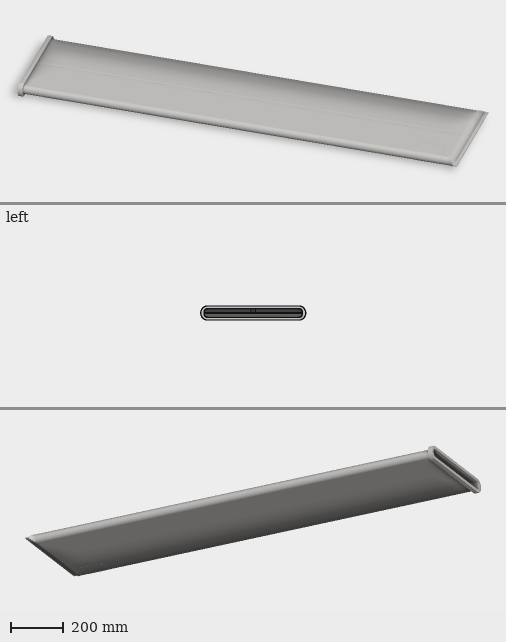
import cadquery as cq
import math

length = 1750.0
body_width = 376.0
body_height = 35.0
wall = 1.0

edge_flat = 0.4

collar_length = 18.0
collar_width = 400.0
collar_height = 55.0

seam_width = collar_width
seam_length = 15.0
seam_thickness = 4.0
taper_length = 25.0
taper_steps = 4

strip_width = 16.0
strip_thickness = 0.5
strip_end_gap = 10.0

patch_start = 1580.0
patch_length = 100.0
patch_reach = 78.0
patch_thickness = 0.5

seam_start = length - seam_length
taper_start = seam_start - taper_length
edge_radius = (body_height - edge_flat) / 2


def section(x, width, height, radius):
    """Outline across X with flat sides and bulging ends: two arcs joined by a narrow flat."""
    top = height / 2
    tip = width / 2
    flat = edge_flat / 2
    arc_rise = top - flat
    centre_y = tip - radius
    corner = centre_y + math.sqrt(radius**2 - arc_rise**2)
    half_angle = math.asin(arc_rise / radius) / 2
    mid_y = centre_y + radius * math.cos(half_angle)
    mid_z = flat + radius * math.sin(half_angle)
    return (
        cq.Workplane("YZ", origin=(x, 0, 0))
        .moveTo(-corner, top)
        .lineTo(corner, top)
        .threePointArc((mid_y, mid_z), (tip, flat))
        .lineTo(tip, -flat)
        .threePointArc((mid_y, -mid_z), (corner, -top))
        .lineTo(-corner, -top)
        .threePointArc((-mid_y, -mid_z), (-tip, -flat))
        .lineTo(-tip, flat)
        .threePointArc((-mid_y, mid_z), (-corner, top))
        .close()
    )


def tube(x, tube_length, width, height):
    """Solid bar with rounded edges, extruded along X from x."""
    return section(x, width, height, (height - edge_flat) / 2).extrude(tube_length)


def grown_body(x, tube_length, margin):
    """Stretch of the body grown by margin on every side."""
    return tube(x, tube_length, body_width + 2 * margin, body_height + 2 * margin)


def ease(start, end, fraction):
    """Parabola that leaves start tangentially and reaches end at fraction 1."""
    return start + (end - start) * fraction**2


def taper_stations():
    """List of (x, height, fraction of the taper passed) from the body to the seam."""
    stations = []
    for step in range(taper_steps + 1):
        fraction = step / taper_steps
        height = ease(body_height, seam_thickness, fraction)
        stations.append((taper_start + taper_length * fraction, height, fraction))
    return stations


def make_taper(inset):
    """Transition from the body section to the wider, thinner seam, shrunk by inset."""
    wires = []
    for x, height, fraction in taper_stations():
        width = ease(body_width, seam_width, fraction) - 2 * inset
        wires.append(section(x, width, height - 2 * inset, edge_radius - inset).val())
    return cq.Workplane(cq.Solid.makeLoft(wires))


def make_seam():
    """Solid flat lip across the closed end."""
    return section(seam_start, seam_width, seam_thickness, edge_radius).extrude(seam_length)


def make_patch():
    """Sheet around the -Y edge, over the same reach on the upper and lower sides."""
    wrap = grown_body(patch_start, patch_length, patch_thickness)
    patch_edge = patch_reach - body_width / 2
    keep = cq.Workplane("XY").box(length, body_width, collar_height, centered=(False, True, True))
    return wrap.intersect(keep.translate((0, patch_edge - body_width / 2, 0)))


def make_strip():
    """Strip on the upper side that follows the taper down onto the seam."""
    top_line = [(x, height / 2 + strip_thickness) for x, height, _ in taper_stations()]
    strip_end = length - strip_end_gap
    return (
        cq.Workplane("XZ")
        .lineTo(0, body_height / 2 + strip_thickness)
        .lineTo(*top_line[0])
        .spline(top_line[1:], includeCurrent=True)
        .lineTo(strip_end, seam_thickness / 2 + strip_thickness)
        .lineTo(strip_end, 0)
        .close()
        .extrude(strip_width / 2, both=True)
    )


outer = grown_body(0, taper_start, 0)
for piece in (
    tube(0, collar_length, collar_width, collar_height),
    make_taper(0),
    make_seam(),
    make_patch(),
    make_strip(),
):
    outer = outer.union(piece)

cavity = grown_body(0, taper_start, -wall).union(make_taper(wall))
result = outer.cut(cavity)